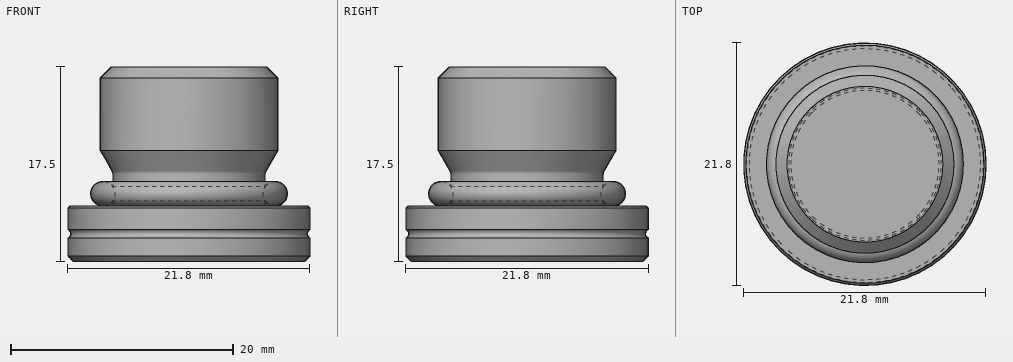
import cadquery as cq
import math

flange_radius = 21.8 / 2
flange_height = 5.0
flange_bottom_chamfer = 0.5
flange_top_chamfer = 0.2

rim_groove_z = 2.5
rim_groove_width = .8
rim_groove_depth = 0.25

neck_radius = 13.7 / 2
head_radius = 16.0 / 2
cone_bottom_z = 8.0
cone_angle = 30.0
neck_fillet = 0.5
total_height = 17.5
head_chamfer = 1.0

ring_section_radius = 2.2 / 2
ring_outer_radius = 8.85
ring_center_radius = ring_outer_radius - ring_section_radius
ring_center_z = flange_height + ring_section_radius


def make_seal_ring():
    """O-ring of round section, centred on the Z axis."""
    return (
        cq.Workplane("XZ")
        .center(ring_center_radius, ring_center_z)
        .circle(ring_section_radius)
        .revolve(360, (-ring_center_radius, 0), (-ring_center_radius, 1))
    )


def make_plug_blank():
    """Turned plug: flange with rim groove, neck, cone and chamfered head."""
    groove_bottom_z = rim_groove_z - rim_groove_width / 2
    groove_top_z = rim_groove_z + rim_groove_width / 2
    groove_floor_radius = flange_radius - rim_groove_depth

    angle = math.radians(cone_angle)
    cone_top_z = cone_bottom_z + (head_radius - neck_radius) / math.tan(angle)
    tangent_length = neck_fillet * math.tan(angle / 2)
    fillet_start = (neck_radius, cone_bottom_z - tangent_length)
    fillet_end = (
        neck_radius + tangent_length * math.sin(angle),
        cone_bottom_z + tangent_length * math.cos(angle),
    )
    fillet_middle = (
        neck_radius + neck_fillet * (1 - math.cos(angle / 2)),
        fillet_start[1] + neck_fillet * math.sin(angle / 2),
    )

    profile = (
        cq.Workplane("XZ")
        .moveTo(0, 0)
        .lineTo(flange_radius - flange_bottom_chamfer, 0)
        .lineTo(flange_radius, flange_bottom_chamfer)
        .lineTo(flange_radius, groove_bottom_z)
        .threePointArc((groove_floor_radius, rim_groove_z), (flange_radius, groove_top_z))
        .lineTo(flange_radius, flange_height - flange_top_chamfer)
        .lineTo(flange_radius - flange_top_chamfer, flange_height)
        .lineTo(neck_radius, flange_height)
        .lineTo(*fillet_start)
        .threePointArc(fillet_middle, fillet_end)
        .lineTo(head_radius, cone_top_z)
        .lineTo(head_radius, total_height - head_chamfer)
        .lineTo(head_radius - head_chamfer, total_height)
        .lineTo(0, total_height)
        .close()
    )
    return profile.revolve(360, (0, 0), (0, 1))


seal_ring = make_seal_ring()

plug = make_plug_blank().cut(seal_ring).solids()

result = cq.Compound.makeCompound([plug.val(), seal_ring.val()])